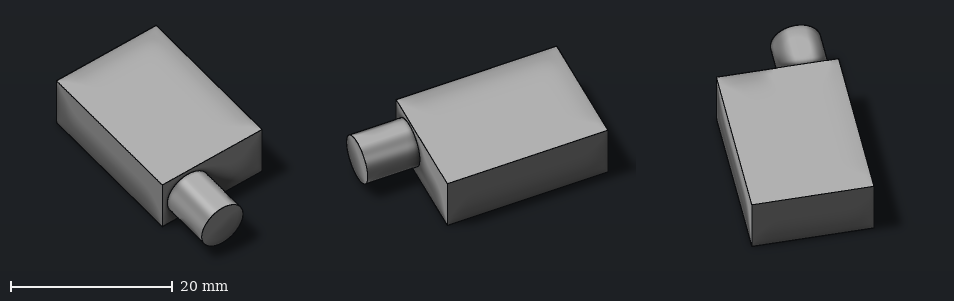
import cadquery as cq

total_length = 28.88
body_length = 21.8
body_width = 15.45
body_height = 7.68
stub_diameter = 6.4
stub_offset = 3.99

stub_length = total_length - body_length
stub_y = stub_offset - body_width / 2

body = cq.Workplane("XY").box(body_length, body_width, body_height, centered=(False, True, True))

stub = (
    cq.Workplane("YZ", origin=(body_length, stub_y, 0))
    .circle(stub_diameter / 2)
    .extrude(stub_length)
)

result = body.union(stub)